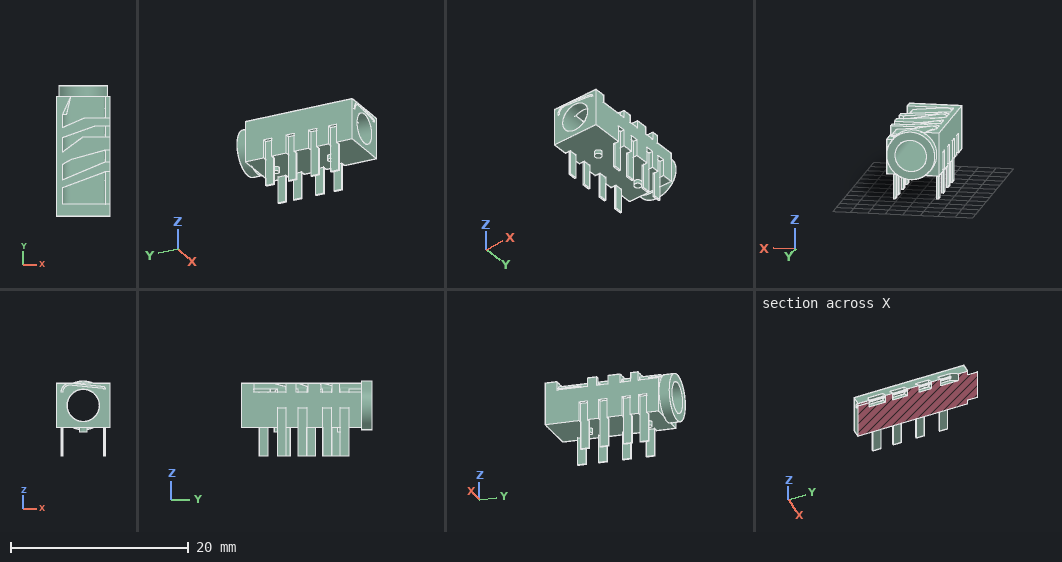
import cadquery as cq
import math

length = 14.7
collar_length = 1.2
block_length = length - collar_length
width = 6.01
height = 5.0
half_width = width / 2
top_z = height / 2
bottom_z = -height / 2

collar_diameter = 5.5
bore_diameter = 3.6
peg_diameter = 0.9
peg_length = 0.5
peg_positions = [4.15, 11.23]

sheet_thickness = 0.2
leg_inset = 0.51
leg_width = 1.0
leg_outer_x = half_width - leg_inset
total_height = 8.45
leg_bottom_z = collar_diameter / 2 - total_height
cover_thickness = 0.007
large_bend_radius = 1.0
small_bend_radius = 0.3
large_bend_x = -leg_outer_x + large_bend_radius
large_bend_z = top_z - cover_thickness - large_bend_radius
small_bend_x = leg_outer_x - small_bend_radius
small_bend_z = 1.84

window_left_x = -2.32
window_floor_z = large_bend_z
front_rib = 1.4
slot_top_z = -0.26
trim_y = 11.47
trim_end = (-1.4, block_length)

front_edges = [
    [(window_left_x, front_rib)],
    [(window_left_x, 4.12), (leg_outer_x, 6.15)],
    [(window_left_x, 7.25), (-0.03, 8.94)],
    [(window_left_x, 10.0), (0.1, 11.05)],
]
back_edges = [
    [(window_left_x, 3.23), (leg_outer_x, 5.03)],
    [(window_left_x, 5.85), (-1.4, 6.4), (leg_outer_x, 7.47)],
    [(window_left_x, 8.86), (1.38, 10.19)],
    [(window_left_x, trim_y), trim_end],
]
left_leg_starts = [2.0, 4.5, 7.34, 10.19]
right_leg_starts = [4.04, 6.35, 9.15, 11.11]

sheet_front_edges = [[(window_left_x, 0)]] + front_edges[1:]
trim_left_x = -1.88
trimmed_back_edge = [(window_left_x, trim_y), (trim_left_x, trim_y), trim_end]
sheet_back_edges = back_edges[:-1] + [trimmed_back_edge]


def box(x_range, y_range, z_range):
    """Block between two limits on each axis."""
    low, high = zip(x_range, y_range, z_range)
    sizes = [end - start for start, end in zip(low, high)]
    return cq.Workplane("XY").box(*sizes, centered=False).translate(low)


def plan_prism(front_edge, back_edge):
    """Upright prism over the full width and height, with both edges carried out level at each end."""
    front = [(-half_width, front_edge[0][1]), *front_edge, (half_width, front_edge[-1][1])]
    back = [(-half_width, back_edge[0][1]), *back_edge, (half_width, back_edge[-1][1])]
    base = cq.Workplane("XY", origin=(0, 0, bottom_z))
    return base.polyline(front + back[::-1]).close().extrude(height)


def bend_point(center_x, center_z, radius, angle):
    """Point at an angle on a bend, in XZ."""
    return (center_x + radius * math.cos(angle), center_z + radius * math.sin(angle))


def sheet_strip():
    """Bent sheet profile, drawn in XZ and extruded over the length of the block."""
    run = small_bend_x - large_bend_x
    rise = small_bend_z - large_bend_z
    radius_step = large_bend_radius - small_bend_radius
    slope = math.atan2(rise, run) - math.asin(radius_step / math.hypot(run, rise))
    normal = math.pi / 2 + slope
    large_middle = (math.pi + normal) / 2
    small_middle = normal / 2

    def large(angle, depth):
        return bend_point(large_bend_x, large_bend_z, large_bend_radius - depth, angle)

    def small(angle, depth):
        return bend_point(small_bend_x, small_bend_z, small_bend_radius - depth, angle)

    return (
        cq.Workplane("XZ")
        .moveTo(*large(math.pi, 0))
        .threePointArc(large(large_middle, 0), large(normal, 0))
        .lineTo(*small(normal, 0))
        .threePointArc(small(small_middle, 0), small(0, 0))
        .lineTo(*small(0, sheet_thickness))
        .threePointArc(small(small_middle, sheet_thickness), small(normal, sheet_thickness))
        .lineTo(*large(normal, sheet_thickness))
        .threePointArc(large(large_middle, sheet_thickness), large(math.pi, sheet_thickness))
        .close()
        .extrude(-block_length)
    )


def leg(side, start_y, leg_top_z):
    """Straight leg; side is -1 for the left one and 1 for the right one."""
    x_range = sorted([side * leg_outer_x, side * (leg_outer_x - sheet_thickness)])
    return box(x_range, (start_y, start_y + leg_width), (leg_bottom_z, leg_top_z))


def make_contact(index):
    """Bent sheet cut to its plan outline, with a leg under each end."""
    plan = plan_prism(sheet_front_edges[index], sheet_back_edges[index])
    return (
        sheet_strip()
        .intersect(plan)
        .union(leg(-1, left_leg_starts[index], large_bend_z))
        .union(leg(1, right_leg_starts[index], small_bend_z))
    )


def window(front_edge, back_edge):
    """Opening in the housing top, from its left side out through the right wall."""
    reach = box((window_left_x, half_width), (0, block_length), (window_floor_z, top_z))
    return reach.intersect(plan_prism(front_edge, back_edge))


def leg_slot(side, start_y):
    """Slot in a side wall that bares the outer face of a leg, open at the bottom."""
    x_range = sorted([side * leg_outer_x, side * half_width])
    return box(x_range, (start_y, start_y + leg_width), (bottom_z, slot_top_z))


def make_housing(contacts):
    """Block with windows, leg slots, collar, pegs and bore, recessed to fit the contacts."""
    block = box((-half_width, half_width), (0, block_length), (bottom_z, top_z))
    for front_edge, back_edge in zip(front_edges, back_edges):
        block = block.cut(window(front_edge, back_edge))
    for left_start, right_start in zip(left_leg_starts, right_leg_starts):
        block = block.cut(leg_slot(-1, left_start)).cut(leg_slot(1, right_start))

    collar = (
        cq.Workplane("XZ", origin=(0, block_length, 0)).circle(collar_diameter / 2).extrude(-collar_length)
    )
    bore = cq.Workplane("XZ").circle(bore_diameter / 2).extrude(-length)
    pegs = (
        cq.Workplane("XY", origin=(0, 0, bottom_z))
        .pushPoints([(0, y) for y in peg_positions])
        .circle(peg_diameter / 2)
        .extrude(-peg_length)
    )
    housing = block.union(collar).union(pegs).cut(bore)
    for contact in contacts:
        housing = housing.cut(contact)
    return housing


contacts = [make_contact(index) for index in range(len(left_leg_starts))]
housing = make_housing(contacts)

contact_solids = [contact.solids().val() for contact in contacts]
result = cq.Compound.makeCompound([housing.solids().val(), *contact_solids])